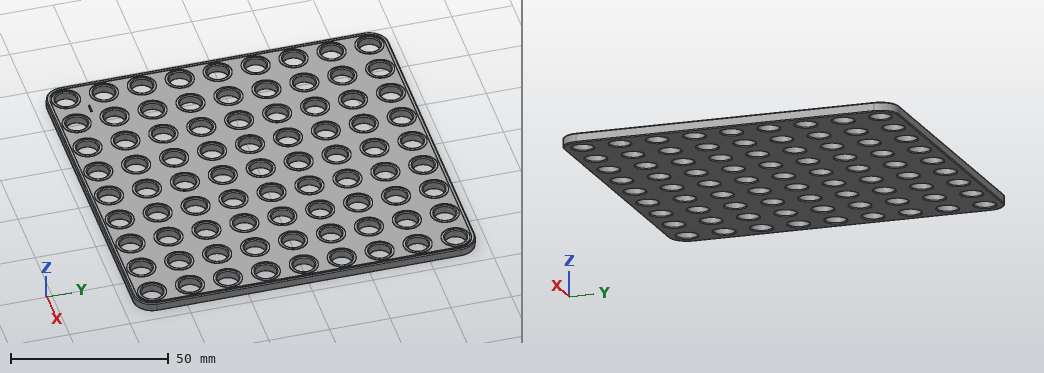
import cadquery as cq

side = 112.5
thickness = 3.2
edge_chamfer = 0.3

holes_per_side = 9
pitch = side / holes_per_side
hole_diameter = 7.0
hole_chamfer = 0.3

recess_depth = 0.2
rim_width = 1.1
collar_diameter = 9.2

mark_length = 3.0
mark_width = 0.5
mark_depth = 0.2

corner_radius = pitch / 2
top_z = thickness / 2
floor_z = top_z - recess_depth
mark_offset = side / 2 - pitch


def rounded_square(width, height, radius):
    return cq.Workplane("XY").box(width, width, height).edges("|Z").fillet(radius)


def hole_grid(z):
    """Workplane at height z with a point on every hole axis."""
    return cq.Workplane("XY", origin=(0, 0, z)).rarray(pitch, pitch, holes_per_side, holes_per_side)


def chamfered_plate():
    plate = rounded_square(side, thickness, corner_radius)
    return plate.faces("<Z or >Z").edges().chamfer(edge_chamfer)


def top_recess():
    """Shallow pocket inside the rim, with the collars left standing."""
    pocket = rounded_square(side - 2 * rim_width, recess_depth, corner_radius - rim_width)
    pocket = pocket.translate((0, 0, top_z - recess_depth / 2))
    collars = hole_grid(top_z).circle(collar_diameter / 2).extrude(-recess_depth)
    return pocket.cut(collars)


def orientation_mark():
    centre = (-mark_offset, -mark_offset, floor_z - mark_depth / 2)
    return cq.Workplane("XY").box(mark_length, mark_width, mark_depth).translate(centre)


def hole_cutter():
    """Through hole with a 45 degree chamfer at both ends."""
    hole_radius = hole_diameter / 2
    mouth_radius = hole_radius + hole_chamfer
    chamfer_z = top_z - hole_chamfer
    profile = [
        (0, -top_z),
        (mouth_radius, -top_z),
        (hole_radius, -chamfer_z),
        (hole_radius, chamfer_z),
        (mouth_radius, top_z),
        (0, top_z),
    ]
    return cq.Workplane("XZ").polyline(profile).close().revolve(360, (0, 0, 0), (0, 1, 0)).val()


cutter = hole_cutter()
holes = hole_grid(0).eachpoint(lambda place: cutter.moved(place))

result = chamfered_plate().cut(top_recess()).cut(orientation_mark()).cut(holes)